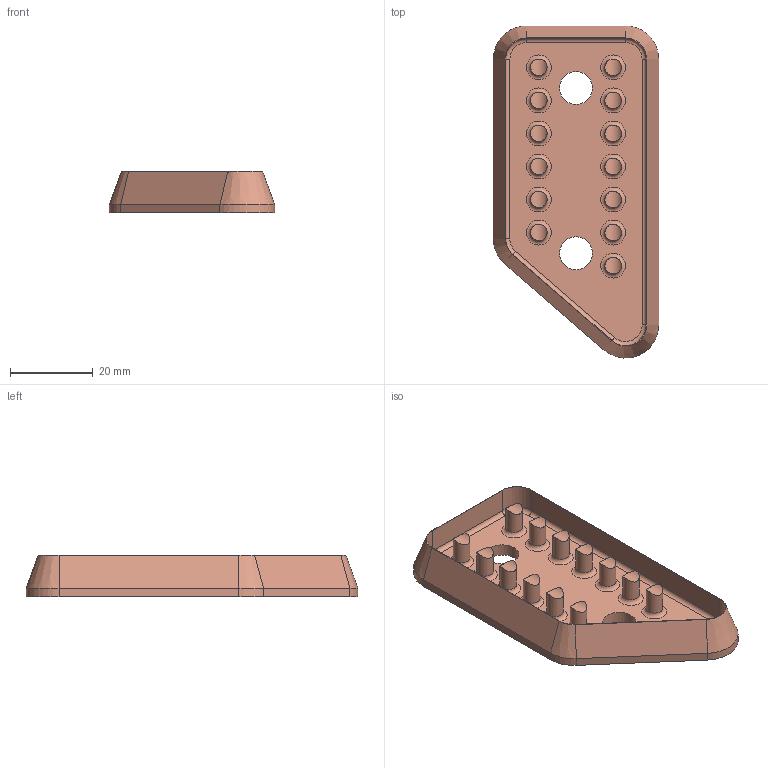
import cadquery as cq
import math

width = 40.0
length = 80.35
height = 10.0
corner_radius = 8.0
slant_angle = 41.0

skirt_height = 2.0
wall_taper = 20.0
cavity_inset = 3.0
floor_thickness = 3.0
floor_fillet = 1.0

peg_radius = 2.0
peg_fillet = 1.0
peg_pitch = 8.0
peg_column_offset = 9.0
peg_first_from_back = 10.0
left_peg_count = 6
right_peg_count = 7
peg_tip_z = 10.0
peg_dish_radius = 2.5

hole_diameter = 8.0
hole_first_from_back = 15.0
hole_spacing = 40.0

back_y = length / 2
corner_x = width / 2 - corner_radius
back_corner_y = back_y - corner_radius
front_corner_y = -length / 2 + corner_radius
left_corner_y = front_corner_y + 2 * corner_x * math.tan(math.radians(slant_angle))


def outline(z, radius):
    """Closed wire at height z whose sides lie one radius outside the four corner centres."""

    def on_corner(x, y, angle):
        angle = math.radians(angle)
        return (x + radius * math.cos(angle), y + radius * math.sin(angle))

    slant_normal = 270 - slant_angle
    corners = [
        (corner_x, back_corner_y, 0, 90),
        (-corner_x, back_corner_y, 90, 180),
        (-corner_x, left_corner_y, 180, slant_normal),
        (corner_x, front_corner_y, slant_normal, 360),
    ]
    path = cq.Workplane("XY").workplane(offset=z).moveTo(corner_x + radius, front_corner_y)
    for x, y, start, end in corners:
        path = path.lineTo(*on_corner(x, y, start))
        path = path.threePointArc(on_corner(x, y, (start + end) / 2), on_corner(x, y, end))
    return path.close()


def make_shell():
    skirt = outline(0, corner_radius).extrude(skirt_height)
    walls = outline(skirt_height, corner_radius).extrude(height - skirt_height, taper=wall_taper)
    cavity = outline(floor_thickness, corner_radius - cavity_inset).extrude(height - floor_thickness)
    cavity = cavity.faces("<Z").edges().fillet(floor_fillet)
    return skirt.union(walls).cut(cavity)


def make_peg():
    """One peg standing on the floor at X = Y = 0, with a flared foot and a dished tip."""
    foot_radius = peg_radius + peg_fillet
    fillet_top = floor_thickness + peg_fillet
    arc_reach = peg_fillet * math.sqrt(0.5)
    peg = (
        cq.Workplane("XZ")
        .lineTo(foot_radius, 0)
        .lineTo(foot_radius, floor_thickness)
        .threePointArc((foot_radius - arc_reach, fillet_top - arc_reach), (peg_radius, fillet_top))
        .lineTo(peg_radius, peg_tip_z)
        .lineTo(0, peg_tip_z)
        .close()
        .revolve(360, (0, 0), (0, 1))
    )
    dish_axis_z = peg_tip_z + math.sqrt(peg_dish_radius**2 - peg_radius**2)
    dish = (
        cq.Workplane("XZ")
        .center(0, dish_axis_z)
        .circle(peg_dish_radius)
        .extrude(peg_radius, both=True)
    )
    return peg.cut(dish)


def add_pegs(body):
    peg = make_peg()
    for x, count in ((-peg_column_offset, left_peg_count), (peg_column_offset, right_peg_count)):
        for row in range(count):
            y = back_y - peg_first_from_back - row * peg_pitch
            body = body.union(peg.translate((x, y, 0)))
    return body


def cut_holes(body):
    first_y = back_y - hole_first_from_back
    holes = (
        cq.Workplane("XY")
        .pushPoints([(0, first_y), (0, first_y - hole_spacing)])
        .circle(hole_diameter / 2)
        .extrude(floor_thickness)
    )
    return body.cut(holes)


result = cut_holes(add_pegs(make_shell()))